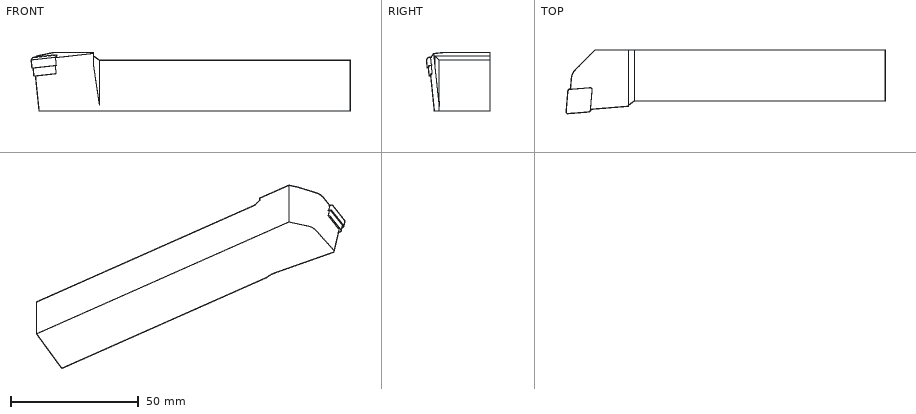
import cadquery as cq
import math

TOOL_LENGTH = 125.0
SHANK_SIDE = 20.0

HEAD_HEIGHT = 23.0
HEAD_END_X = 24.5
STEP_FOOT_X = 26.7
STEP_FOOT_RISE = 1.6
BLANK_MARGIN = 7.5

TILT_ANGLE = 8.3
FOLD_X = 8.7
FOLD_Y = 17.4

TIP_OVERHANG = 5.0
INSERT_TIP_X = -0.21
INSERT_TIP_Y = INSERT_TIP_X - TIP_OVERHANG
INSERT_SIDE = 9.6
INSERT_THICKNESS = 3.2
INSERT_PROUD = 0.2
INSERT_RADIUS = 0.7
EDGE_LEAD = math.radians(5)

SHIM_INSET = 0.4
SHIM_THICKNESS = 3.2

FLANK_INSET = 0.94
NOSE_RADIUS = 0.7
BACK_CORNER_RADIUS = 5.6
RELIEF_START_X = 26.4
RELIEF_RADIUS = 10.0
RELIEF_SWEEP = math.radians(60)
ENVELOPE_DEPTH = 50.0

HALF_TIP_ANGLE = math.radians(45) - EDGE_LEAD
INSET_TO_TIP_SHIFT = math.cos(math.radians(45)) / math.sin(HALF_TIP_ANGLE)


def tilt(body):
    """Lean a body about the fold line, lowering the tip."""
    return body.rotate(
        (FOLD_X, FOLD_Y, HEAD_HEIGHT),
        (FOLD_X + 1.2, FOLD_Y - 1.2, HEAD_HEIGHT),
        TILT_ANGLE,
    )


def inset_tip(inset):
    """Sharp tip corner of an outline set in from the insert edges."""
    shift = inset * INSET_TO_TIP_SHIFT
    return INSERT_TIP_X + shift, INSERT_TIP_Y + shift


def rhombic_plate(inset, top_z, thickness):
    """Tilted rhombic plate with rounded corners."""
    tip_x, tip_y = inset_tip(inset)
    side = INSERT_SIDE - 2 * inset / math.sin(2 * HALF_TIP_ANGLE)
    long_run = side * math.cos(EDGE_LEAD)
    short_run = side * math.sin(EDGE_LEAD)
    plate = (
        cq.Workplane("XY", origin=(tip_x, tip_y, top_z - thickness))
        .polyline([
            (0, 0),
            (long_run, short_run),
            (long_run + short_run, long_run + short_run),
            (short_run, long_run),
        ])
        .close()
        .extrude(thickness)
        .edges("|Z")
        .fillet(INSERT_RADIUS)
    )
    return tilt(plate)


def holder_blank():
    """Shank and square-ended head, stepped on the top and on the front face."""
    far_x = -BLANK_MARGIN
    far_y = -BLANK_MARGIN
    side_profile = (
        cq.Workplane("XZ", origin=(0, SHANK_SIDE, 0))
        .polyline([
            (far_x, 0),
            (TOOL_LENGTH, 0),
            (TOOL_LENGTH, SHANK_SIDE),
            (STEP_FOOT_X, SHANK_SIDE),
            (HEAD_END_X, SHANK_SIDE + STEP_FOOT_RISE),
            (HEAD_END_X, HEAD_HEIGHT),
            (far_x, HEAD_HEIGHT),
        ])
        .close()
        .extrude(SHANK_SIDE - far_y)
    )
    plan_profile = (
        cq.Workplane("XY")
        .polyline([
            (far_x, SHANK_SIDE),
            (TOOL_LENGTH, SHANK_SIDE),
            (TOOL_LENGTH, 0),
            (STEP_FOOT_X, 0),
            (HEAD_END_X, -STEP_FOOT_RISE),
            (HEAD_END_X, far_y),
            (far_x, far_y),
        ])
        .close()
        .extrude(HEAD_HEIGHT)
    )
    return side_profile.intersect(plan_profile)


def cutting_end_envelope():
    """Tilted prism whose top and sides trim the head and its relief run-out."""
    tip_x, tip_y = inset_tip(FLANK_INSET)
    slope = math.tan(EDGE_LEAD)

    diagonal_offset = FOLD_Y - FOLD_X
    corner_x = (tip_x + slope * (diagonal_offset - tip_y)) / (1 - slope)
    corner_y = corner_x + diagonal_offset

    relief_start_y = tip_y + slope * (RELIEF_START_X - tip_x)
    center_x = RELIEF_START_X + RELIEF_RADIUS * math.sin(EDGE_LEAD)
    center_y = relief_start_y - RELIEF_RADIUS * math.cos(EDGE_LEAD)

    def relief_point(sweep):
        angle = math.radians(90) + EDGE_LEAD - sweep
        return (
            center_x + RELIEF_RADIUS * math.cos(angle),
            center_y + RELIEF_RADIUS * math.sin(angle),
        )

    far_x = TOOL_LENGTH + ENVELOPE_DEPTH
    far_y = -ENVELOPE_DEPTH
    back_y = SHANK_SIDE + ENVELOPE_DEPTH
    relief_end = relief_point(RELIEF_SWEEP)
    envelope = (
        cq.Workplane("XY", origin=(0, 0, HEAD_HEIGHT - ENVELOPE_DEPTH))
        .moveTo(tip_x, tip_y)
        .lineTo(RELIEF_START_X, relief_start_y)
        .threePointArc(relief_point(RELIEF_SWEEP / 2), relief_end)
        .lineTo(relief_end[0], far_y)
        .lineTo(far_x, far_y)
        .lineTo(far_x, back_y)
        .lineTo(back_y - diagonal_offset, back_y)
        .lineTo(corner_x, corner_y)
        .close()
        .extrude(ENVELOPE_DEPTH)
    )
    nose_edge = cq.selectors.NearestToPointSelector((tip_x, tip_y, HEAD_HEIGHT - ENVELOPE_DEPTH / 2))
    back_edge = cq.selectors.NearestToPointSelector((corner_x, corner_y, HEAD_HEIGHT - ENVELOPE_DEPTH / 2))
    envelope = envelope.edges("|Z").edges(nose_edge).fillet(NOSE_RADIUS)
    envelope = envelope.edges("|Z").edges(back_edge).fillet(BACK_CORNER_RADIUS)
    return tilt(envelope)


insert_top = HEAD_HEIGHT + INSERT_PROUD
insert = rhombic_plate(0, insert_top, INSERT_THICKNESS)
shim_pad = rhombic_plate(SHIM_INSET, insert_top - INSERT_THICKNESS, SHIM_THICKNESS)
holder = holder_blank().intersect(cutting_end_envelope()).union(shim_pad).cut(insert)

result = cq.Compound.makeCompound([holder.val(), insert.val()])